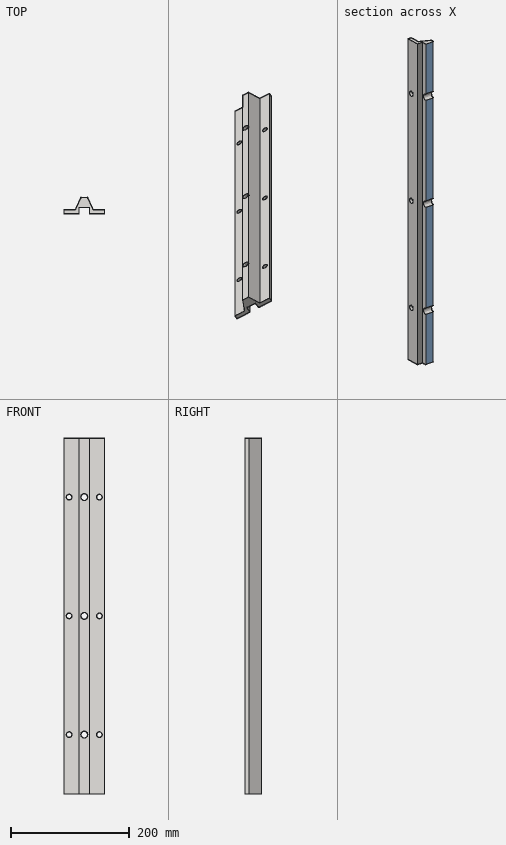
import cadquery as cq

length = 599.5
flange_width = 69.0
flange_thickness = 7.0
total_depth = 28.01

ridge_base_width = 30.5
ridge_crest_width = 11.2
crest_sag = 0.5

channel_width = 17.0
channel_depth = 10.5

first_row_height = 100.0
row_pitch = 200.0
row_count = 3
flange_hole_diameter = 9.0
flange_hole_spacing = 51.0
ridge_hole_diameter = 11.0
bore_overrun = 1.0


def rail():
    """Hat-shaped section, symmetric about X = 0, extruded up from Z = 0."""
    half_channel = channel_width / 2
    half_flange = flange_width / 2
    half_base = ridge_base_width / 2
    half_crest = ridge_crest_width / 2
    return (
        cq.Workplane("XY")
        .moveTo(-half_channel, channel_depth)
        .lineTo(half_channel, channel_depth)
        .lineTo(half_channel, 0)
        .lineTo(half_flange, 0)
        .lineTo(half_flange, flange_thickness)
        .lineTo(half_base, flange_thickness)
        .lineTo(half_crest, total_depth)
        .threePointArc((0, total_depth - crest_sag), (-half_crest, total_depth))
        .lineTo(-half_base, flange_thickness)
        .lineTo(-half_flange, flange_thickness)
        .lineTo(-half_flange, 0)
        .lineTo(-half_channel, 0)
        .close()
        .extrude(length)
    )


def bores(diameter, x_positions):
    """Cylinders along Y at the given X positions, one set for each hole row."""
    heights = [first_row_height + row * row_pitch for row in range(row_count)]
    centres = [(x, z) for x in x_positions for z in heights]
    start_plane = cq.Workplane("XZ", origin=(0, total_depth + bore_overrun, 0))
    return (
        start_plane.pushPoints(centres)
        .circle(diameter / 2)
        .extrude(total_depth + 2 * bore_overrun)
    )


flange_hole_offset = flange_hole_spacing / 2
flange_holes = bores(flange_hole_diameter, (-flange_hole_offset, flange_hole_offset))
ridge_holes = bores(ridge_hole_diameter, (0,))

result = rail().cut(flange_holes).cut(ridge_holes)